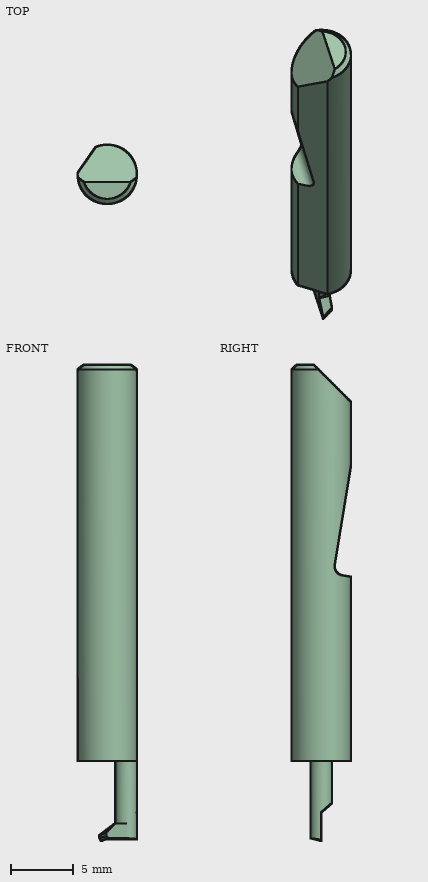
import cadquery as cq
import math

total_height = 38.1
shank_radius = 2.38
shank_bottom = 6.4
chamfer_width = 0.42
chamfer_height = 0.4
oversize = 4 * shank_radius

flat_distance = 2.02
flat_angle = 145.0
top_bevel_start = -0.6
notch_top = 30.0
notch_bottom = 21.15
notch_tilt = 9.3
notch_fillet = 0.72

neck_radius = 0.88
neck_x = shank_radius - neck_radius
rake_bevel_top = 3.05
rake_bevel_bottom = 2.3

head_top = 1.4
head_shoulder_x = 0.6
rake_bottom = 0.1
back_bottom = 0.23
tip_x = -0.65
tip_top = 0.45
tip_low_x = -0.5
tip_flank_z = 0.25
tip_heel_x = -0.3
back_edge_x = -0.08
back_edge_top = 0.7


def extrude_across_x(points):
    """Prism with a (Y, Z) outline, long enough to pass through the part in X."""
    return cq.Workplane("YZ").polyline(points).close().extrude(oversize, both=True)


def make_shank():
    """Round bar whose top rim carries a chamfer."""
    shank = (
        cq.Workplane("XY")
        .workplane(offset=shank_bottom)
        .circle(shank_radius)
        .extrude(total_height - shank_bottom)
    )
    return shank.faces(">Z").edges().chamfer(chamfer_height, chamfer_width)


def side_flat():
    """Block that leaves a flat along the full length of the shank."""
    block = cq.Workplane("XY").box(
        oversize, oversize, total_height, centered=(False, True, False)
    )
    return block.translate((flat_distance, 0, 0)).rotate((0, 0, 0), (0, 0, 1), flat_angle)


def top_bevel():
    """45 degree bevel falling towards +Y from the top face."""
    return extrude_across_x([
        (top_bevel_start, total_height),
        (top_bevel_start + oversize, total_height),
        (top_bevel_start + oversize, total_height - oversize),
    ])


def clamping_notch():
    """Square-cornered tilted notch in the +Y side, rounded at its root."""
    tilt = math.radians(notch_tilt)
    ramp_length = (notch_top - notch_bottom) * math.cos(tilt)
    root_y = shank_radius - ramp_length * math.sin(tilt)
    root_z = notch_top - ramp_length * math.cos(tilt)
    notch = extrude_across_x([
        (shank_radius, notch_top),
        (root_y, root_z),
        (shank_radius, notch_bottom),
    ])
    return notch.edges("|X").edges("<Y").fillet(notch_fillet)


def make_neck():
    """Slender round neck cut back to half its thickness at the rake face."""
    neck = cq.Workplane("XY").center(neck_x, 0).circle(neck_radius).extrude(shank_bottom)
    rake_cut = extrude_across_x([
        (0, 0),
        (0, rake_bevel_bottom),
        (neck_radius, rake_bevel_top),
        (oversize, rake_bevel_top),
        (oversize, 0),
    ])
    underside_cut = extrude_across_x([
        (0, 0),
        (0, rake_bottom),
        (-neck_radius, back_bottom),
        (-neck_radius, 0),
    ])
    return neck.cut(rake_cut).cut(underside_cut)


def make_head():
    """Hooked cutting tip, relieved from the rake face towards its back."""
    rake_outline = [
        (neck_x, head_top),
        (head_shoulder_x, head_top),
        (tip_x, tip_top),
        (tip_x, tip_flank_z),
        (tip_low_x, 0),
        (tip_heel_x, rake_bottom),
        (neck_x, rake_bottom),
    ]
    back_heel_x = back_edge_x + tip_heel_x - tip_x
    back_middle_x = (back_edge_x + back_heel_x) / 2
    back_outline = [
        (neck_x, head_top),
        (head_shoulder_x, head_top),
        (back_edge_x, back_edge_top),
        (back_edge_x, back_bottom + tip_flank_z - rake_bottom),
        (back_middle_x, back_bottom),
        (back_heel_x, back_bottom),
        (neck_x, back_bottom),
    ]
    return (
        cq.Workplane("XZ")
        .polyline(rake_outline)
        .close()
        .workplane(offset=neck_radius)
        .polyline(back_outline)
        .close()
        .loft(ruled=True)
    )


shank = make_shank().cut(side_flat()).cut(top_bevel()).cut(clamping_notch())
result = shank.union(make_neck()).union(make_head())